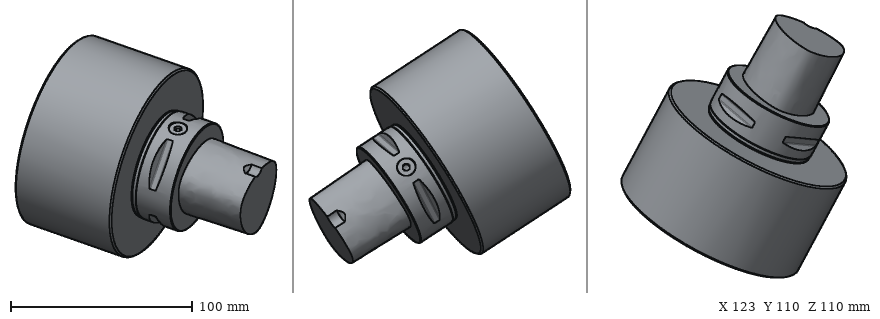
import cadquery as cq
import math

total_length = 123.0
disc_diameter = 110.0
disc_length = 60.0
disc_chamfer = 1.0
neck_diameter = 62.4
neck_end = 62.9
relief_diameter = 61.7
relief_width = 0.7
collar_diameter = 63.0
collar_end = 84.9
collar_chamfer = 0.5

shank_root_radius = 22.1
shank_end_radius = 21.3
lobe_height = 1.54
points_per_lobe = 12

slot_center_x = 72.8
slot_count = 4
slot_floor_distance = 27.9
slot_floor_width = 3.8
slot_flank_angle = 29.0
slot_floor_fillet = 0.6

seat_diameter = 10.0
seat_flare_angle = 25.0
seat_floor_height = 30.9
dimple_depth = 1.8

pilot_diameter = 4.0
pilot_depth = 9.8
countersink_diameter = 5.7
keyway_diameter = 9.6
keyway_length = 6.4
keyway_center_height = 22.3
keyway_tip_angle = 90.0
drill_tip_angle = 118.0

cut_clearance = 1.2


def cylinder_x(diameter, start, end):
    return cq.Workplane("YZ", origin=(start, 0, 0)).circle(diameter / 2).extrude(end - start)


def drill(diameter, depth, position, direction, tip_angle=drill_tip_angle):
    """Round hole with a conical tip beyond its full-diameter depth."""
    radius = diameter / 2
    tip_length = radius / math.tan(math.radians(tip_angle / 2))
    profile = (
        cq.Workplane("XY")
        .polyline([(0, 0), (radius, 0), (radius, depth), (0, depth + tip_length)])
        .close()
        .revolve(360, (0, 0), (0, 1))
    )
    upright = profile.rotate((0, 0, 0), (1, 0, 0), 90)
    plane = cq.Plane(origin=position, xDir=(0, 1, 0), normal=direction)
    return cq.Workplane(obj=upright.val().moved(cq.Location(plane)))


def turned_body():
    disc = cylinder_x(disc_diameter, 0, disc_length).edges().chamfer(disc_chamfer)
    relief = cylinder_x(relief_diameter, disc_length, disc_length + relief_width)
    neck = cylinder_x(neck_diameter, disc_length + relief_width, neck_end)
    collar = cylinder_x(collar_diameter, neck_end, collar_end).edges().chamfer(collar_chamfer)
    return disc.union(relief).union(neck).union(collar)


def lobed_wire(x, mean_radius):
    """Smooth three-lobed outline with one lobe pointing to -Z."""
    points = []
    count = 3 * points_per_lobe
    for i in range(count):
        angle = 2 * math.pi * i / count
        support = mean_radius + lobe_height * math.cos(3 * angle)
        slope = -3 * lobe_height * math.sin(3 * angle)
        y = support * math.sin(angle) + slope * math.cos(angle)
        z = -support * math.cos(angle) + slope * math.sin(angle)
        points.append(cq.Vector(x, y, z))
    return cq.Wire.assembleEdges([cq.Edge.makeSpline(points, periodic=True)])


def shank():
    root = lobed_wire(collar_end, shank_root_radius)
    end = lobed_wire(total_length, shank_end_radius)
    return cq.Workplane(obj=cq.Solid.makeLoft([root, end], True))


def gripper_slot(angle):
    """Straight slot with flaring flanks, cut across the collar at an angle from +Z."""
    top = collar_diameter / 2 + cut_clearance
    half_floor = slot_floor_width / 2
    flare = (top - slot_floor_distance) * math.tan(math.radians(slot_flank_angle))
    half_top = half_floor + flare
    return (
        cq.Workplane("XZ")
        .polyline([
            (slot_center_x - half_floor, slot_floor_distance),
            (slot_center_x + half_floor, slot_floor_distance),
            (slot_center_x + half_top, top),
            (slot_center_x - half_top, top),
        ])
        .close()
        .extrude(collar_diameter / 2, both=True)
        .faces("<Z")
        .edges("|Y")
        .fillet(slot_floor_fillet)
        .rotate((0, 0, 0), (1, 0, 0), angle)
    )


def top_seat():
    seat = (
        cq.Workplane("XY", origin=(slot_center_x, 0, seat_floor_height))
        .circle(seat_diameter / 2)
        .extrude(cut_clearance, taper=-seat_flare_angle)
    )
    dimple = drill(pilot_diameter, dimple_depth, (slot_center_x, 0, seat_floor_height), (0, 0, -1))
    return seat.union(dimple)


def face_pilot():
    countersink_depth = (countersink_diameter - pilot_diameter) / 2
    countersink = cq.Workplane(obj=cq.Solid.makeCone(
        countersink_diameter / 2, pilot_diameter / 2, countersink_depth,
        cq.Vector(0, 0, 0), cq.Vector(1, 0, 0),
    ))
    return drill(pilot_diameter, pilot_depth, (0, 0, 0), (1, 0, 0)).union(countersink)


def keyway():
    """Shallow round-bottomed groove drilled along X from the shank end, its axis above the surface."""
    end_center = (total_length, 0, keyway_center_height)
    return drill(keyway_diameter, keyway_length, end_center, (-1, 0, 0), keyway_tip_angle)


result = turned_body().union(shank())
for index in range(slot_count):
    result = result.cut(gripper_slot((index + 0.5) * 360 / slot_count))
result = result.cut(top_seat()).cut(face_pilot()).cut(keyway())